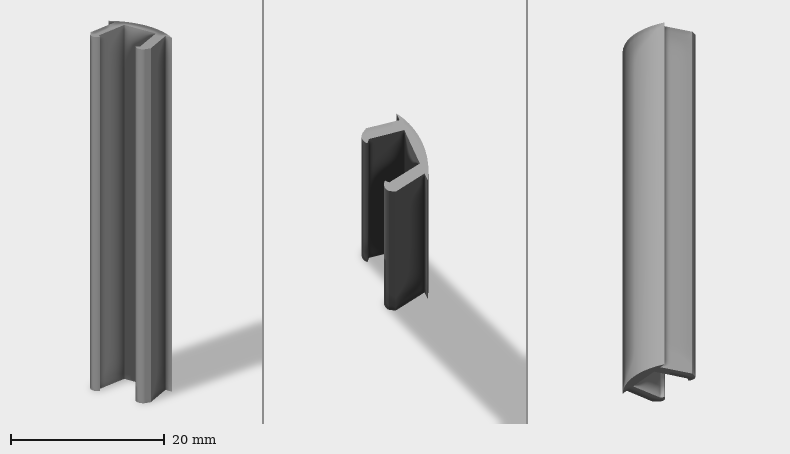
import cadquery as cq

length = 50.0
cap_width = 10.0
cap_height = 1.45
total_depth = 6.95
channel_width = 5.0
leg_thickness = 1.5
leg_splay = 0.75

inner_foot_y = -4.7
outer_foot_y = -4.45
bevel_x = 4.3
bevel_y = -5.2
sole_x = 3.65
lip_x = 2.8
lip_y = -5.1

inner_root_x = channel_width / 2
outer_root_x = inner_root_x + leg_thickness
inner_foot_x = inner_root_x + leg_splay
outer_foot_x = outer_root_x + leg_splay
sole_y = cap_height - total_depth


def make_cap():
    """Thin-edged cap with an arched top and a flat underside."""
    return (
        cq.Workplane("XY")
        .moveTo(-cap_width / 2, 0)
        .threePointArc((0, cap_height), (cap_width / 2, 0))
        .close()
        .extrude(length)
    )


def make_right_leg():
    """Splayed leg with a round sole and an inward lip."""
    root_y = cap_height / 4
    return (
        cq.Workplane("XY")
        .moveTo(inner_root_x, root_y)
        .lineTo(inner_root_x, 0)
        .lineTo(inner_foot_x, inner_foot_y)
        .lineTo(lip_x, lip_y)
        .threePointArc((sole_x, sole_y), (bevel_x, bevel_y))
        .lineTo(outer_foot_x, outer_foot_y)
        .lineTo(outer_root_x, 0)
        .lineTo(outer_root_x, root_y)
        .close()
        .extrude(length)
    )


right_leg = make_right_leg()
left_leg = right_leg.mirror("YZ")
result = make_cap().union(right_leg).union(left_leg)